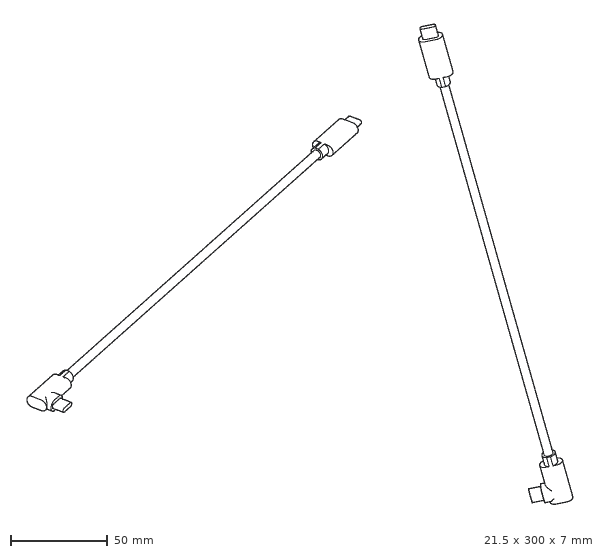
import cadquery as cq

TOTAL_LENGTH = 300.0
Y_BACK = TOTAL_LENGTH / 2
Y_FRONT = -TOTAL_LENGTH / 2

CABLE_DIAMETER = 4.8

THICKNESS = 7.0
STRAIGHT_WIDTH = 13.0
ANGLED_WIDTH = 12.3
RELIEF_DIAMETER = 7.2
RELIEF_LENGTH = 5.7
STRAIGHT_LENGTH = 23.7
ANGLED_LENGTH = 23.5

TIP_WIDTH = 8.5
TIP_THICKNESS = 2.7
TIP_LENGTH = 6.5

BRANCH_WIDTH = 10.8
OVERALL_WIDTH = 21.5
BRANCH_REACH = OVERALL_WIDTH - STRAIGHT_WIDTH / 2 - TIP_LENGTH
BRANCH_TO_END = 6.0

STRAIGHT_TIP_START = Y_BACK - TIP_LENGTH
STRAIGHT_START = STRAIGHT_TIP_START - STRAIGHT_LENGTH
CABLE_END = STRAIGHT_START - RELIEF_LENGTH
ANGLED_END = Y_FRONT + ANGLED_LENGTH
CABLE_START = ANGLED_END + RELIEF_LENGTH
BRANCH_Y = Y_FRONT + BRANCH_TO_END


def bar_along_y(width, thickness, y_start, length):
    """Bar with fully rounded sides, running along +Y from y_start."""
    return (
        cq.Workplane("XZ", origin=(0, y_start, 0))
        .slot2D(width, thickness)
        .extrude(-length)
    )


def bar_along_x(width, thickness, x_start, y_centre, length):
    """Bar with fully rounded sides, running along +X from x_start."""
    return (
        cq.Workplane("YZ", origin=(x_start, y_centre, 0))
        .slot2D(width, thickness)
        .extrude(length)
    )


def make_cable():
    """Round cable between the two strain reliefs."""
    return (
        cq.Workplane("XZ", origin=(0, CABLE_START, 0))
        .circle(CABLE_DIAMETER / 2)
        .extrude(CABLE_START - CABLE_END)
    )


def make_relief(y_start):
    """Round strain relief with a flat on its top and bottom, level with the housing."""
    barrel = (
        cq.Workplane("XZ", origin=(0, y_start, 0))
        .circle(RELIEF_DIAMETER / 2)
        .extrude(-RELIEF_LENGTH)
    )
    flat_envelope = (
        cq.Workplane("XZ", origin=(0, y_start, 0))
        .rect(RELIEF_DIAMETER, THICKNESS)
        .extrude(-RELIEF_LENGTH)
    )
    return barrel.intersect(flat_envelope)


def make_straight_housing():
    """In-line plug housing with its strain relief."""
    grip = bar_along_y(STRAIGHT_WIDTH, THICKNESS, STRAIGHT_START, STRAIGHT_LENGTH)
    relief = make_relief(CABLE_END)
    return grip.union(relief)


def make_angled_housing():
    """Right-angle plug housing with its strain relief and side branch."""
    grip = bar_along_y(ANGLED_WIDTH, THICKNESS, Y_FRONT, ANGLED_LENGTH)
    relief = make_relief(ANGLED_END)
    branch = bar_along_x(BRANCH_WIDTH, THICKNESS, 0, BRANCH_Y, BRANCH_REACH)
    return grip.union(relief).union(branch)


cable = make_cable()
straight_housing = make_straight_housing()
angled_housing = make_angled_housing()
straight_tip = bar_along_y(TIP_WIDTH, TIP_THICKNESS, STRAIGHT_TIP_START, TIP_LENGTH)
angled_tip = bar_along_x(TIP_WIDTH, TIP_THICKNESS, BRANCH_REACH, BRANCH_Y, TIP_LENGTH)

result = cq.Compound.makeCompound([
    cable.val(),
    straight_housing.val(),
    angled_housing.val(),
    straight_tip.val(),
    angled_tip.val(),
])